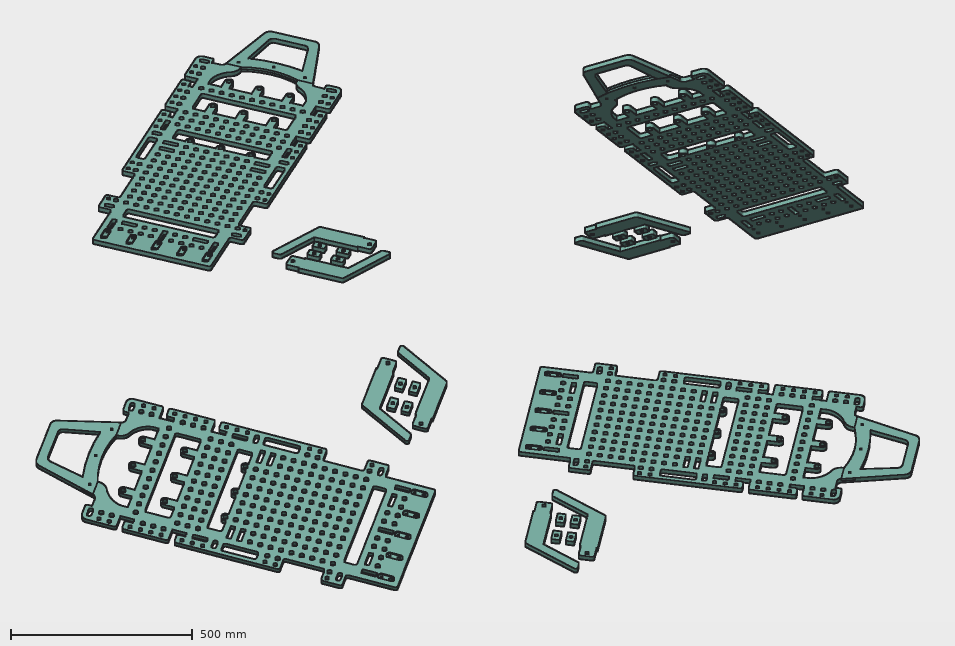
import cadquery as cq
import math

SHEET = 15.0
SMALL_RADIUS = 6.0

GRID_SPAN = 300.0
LAST_COLUMN = 5
PITCH = GRID_SPAN / (2 * LAST_COLUMN)
FIRST_ROW_Y = 73.0
GRID_HOLE = 13.0
FULL_ROWS = [*range(4, 13), 17, 18, 19, 23]
SLOT_ENDED_ROWS = [13, 14]
PAIR_SLOT_LENGTH = 42.0
SLOT_RADIUS = 2.0

PLATE_HALF = 215.0
CORE_HALF = 175.0
SHOULDER_Y = 885.0
REAR_EAR = (147.0, 208.0)
LONG_EAR = (327.0, 632.0)
MIDDLE_EAR = (650.0, 783.0)
FRONT_EAR = (800.0, 903.0)
FRONT_EAR_INNER_X = 166.0
FRONT_EAR_RADIUS = 17.0
CHANNEL_OUTER_X = 187.0
CHANNEL_DEPTH = 24.0

EAR_HOLE = 10.0
EAR_HOLE_X = 202.0
EAR_GRID_COLUMN = 6
EAR_HOLE_ROWS = [4, 9, 10, 16, 17, 18, 20, 21, 22, 23, 25, 26]
EAR_GRID_ROWS = [4, 9, 10, 20, 21, 22, 25, 26]
EAR_SLOT_ROWS = [3, 15, 27]
EAR_SLOT_LENGTH = 27.0
EAR_SLOT_X = 188.0
EAR_WINDOW_X = (176.0, 202.0)
EAR_WINDOW_Y = (399.0, 501.0)

WINDOW_HALF = 140.0
HEAD_WINDOW_Y = 790.0
MIDDLE_WINDOW_Y = (667.0, 741.0)
LOWER_WINDOW_Y = (518.0, 561.0)
REAR_WINDOW_Y = (130.0, 167.0)
REAR_WINDOW_HALF = 136.0
FINGER_COLUMNS = [-3, 0, 3]
FINGER_WIDTH = 24.0
FINGER_HOLE = 13.0
HEAD_FINGER_HOLE_Y = 819.0
MIDDLE_FINGER_HOLE_Y = 698.0
LOWER_FINGER_ROW = 15

RECESS_COUNT = 5
RECESS_WIDTH = 17.0
RECESS_Y = (16.0, 63.0)
RECESS_DEPTH = 4.0
RECESS_SCREW_HOLE = 6.0
RECESS_SCREW_Y = 53.0
RECESS_PIN_HOLE = 9.0
RECESS_PIN_Y = 27.0

HANDLE_TOP_Y = 1079.0
HANDLE_TOP_HALF = 77.0
HANDLE_RADIUS = 19.0
HANDLE_FOOT_RADIUS = 12.0
LAP_Y = 895.0
LAP_HALF = 128.0
LAP_THICKNESS = SHEET / 2
GRIP_TOP_Y = 1051.0
GRIP_TOP_HALF = 55.0
GRIP_RADIUS = 15.0
GRIP_ARC_TOP_Y = 947.0
GRIP_ARC_RADIUS = 421.0
GRIP_BOTTOM_HALF = 80.0
GRIP_BOTTOM_Y = 940.0
HANDLE_HOLE = 5.8
HANDLE_HOLES = [(-98.0, 913.0), (0, 927.0), (98.0, 913.0)]

ARM_PAIR_MIDDLE = (461.0, 182.0)
ARM_TOP = 100.0
ARM_WIDTH = 51.0
ARM_END_X = 97.0
ARM_TAB_X = 58.0
ARM_TAB_STEP = 3.0
ARM_ELBOW_X = -73.0
LEG_ANGLE = 27.4
LEG_WIDTH = 30.0
LEG_BOTTOM = -60.0
ARM_HOLE = 10.0
ARM_HOLE_X = 84.0

BLOCK_X = (419.0, 489.0)
BLOCK_Y = (162.0, 203.0)
BLOCK_LENGTH = 36.0
BLOCK_WIDTH = 24.0
BLOCK_RADIUS = 3.0
BLOCK_HOLE = 9.0


def row_y(row):
    return FIRST_ROW_Y + row * PITCH


def slab(x_range, y_range, height=SHEET):
    """Block standing on Z = 0 between the given X and Y limits."""
    length = x_range[1] - x_range[0]
    width = y_range[1] - y_range[0]
    return cq.Workplane().box(length, width, height, centered=False).translate((x_range[0], y_range[0], 0))


def both_sides(body):
    return body.union(body.mirror("YZ"))


def round_corners(body, corners, radius):
    """Round the upright edges that stand on the given corners, on both sides of X = 0."""
    reach = 0.1

    def on_corner(edge):
        middle = edge.Center()
        return any(math.hypot(abs(middle.x) - x, middle.y - y) < reach for x, y in corners)

    return body.newObject([edge for edge in body.edges("|Z").vals() if on_corner(edge)]).fillet(radius)


def drills(points, diameter):
    return cq.Workplane().pushPoints(points).circle(diameter / 2).extrude(SHEET)


def window(half, y_range):
    return slab((-half, half), y_range).edges("|Z").fillet(SMALL_RADIUS)




def handle_half_width(y):
    slope = (LAP_HALF - HANDLE_TOP_HALF) / (HANDLE_TOP_Y - LAP_Y)
    return LAP_HALF - slope * (y - LAP_Y)


def handle_blank(bottom, top, height=SHEET):
    """Tapered slice of the handle outline."""
    low = handle_half_width(bottom)
    high = handle_half_width(top)
    points = [(-low, bottom), (low, bottom), (high, top), (-high, top)]
    return cq.Workplane().polyline(points).close().extrude(height)


def below_grip_arc(height):
    """Disc whose upper rim is the lower edge of the grip opening."""
    return (
        cq.Workplane()
        .center(0, GRIP_ARC_TOP_Y - GRIP_ARC_RADIUS)
        .circle(GRIP_ARC_RADIUS)
        .extrude(height)
    )


def head_window():
    """Domed opening bounded by the plate at its sides and by the lap at its crown."""
    side_top = (WINDOW_HALF, 809.0)
    shoulder_middle = (130.0, 837.0)
    shoulder_end = (99.0, 863.0)
    neck_middle = (86.0, 877.0)
    crown_end = (83.0, LAP_Y)
    crown_y = 910.0

    def left(point):
        return (-point[0], point[1])

    return (
        cq.Workplane()
        .moveTo(-WINDOW_HALF, HEAD_WINDOW_Y)
        .lineTo(WINDOW_HALF, HEAD_WINDOW_Y)
        .lineTo(*side_top)
        .threePointArc(shoulder_middle, shoulder_end)
        .threePointArc(neck_middle, crown_end)
        .threePointArc((0, crown_y), left(crown_end))
        .threePointArc(left(neck_middle), left(shoulder_end))
        .threePointArc(left(shoulder_middle), left(side_top))
        .close()
        .extrude(SHEET)
    )




def plate_blank():
    body = slab((-CORE_HALF, CORE_HALF), (0, SHOULDER_Y))
    for ear in (REAR_EAR, LONG_EAR, MIDDLE_EAR):
        body = body.union(slab((-PLATE_HALF, PLATE_HALF), ear))
    body = body.union(both_sides(slab((FRONT_EAR_INNER_X, PLATE_HALF), FRONT_EAR)))
    body = body.union(handle_blank(SHOULDER_Y, LAP_Y))
    for ear in (LONG_EAR, MIDDLE_EAR):
        channel = slab((CORE_HALF, CHANNEL_OUTER_X), (ear[1] - CHANNEL_DEPTH, ear[1]))
        body = body.cut(both_sides(channel))

    outer_corners = [(PLATE_HALF, y) for y in (*REAR_EAR, *LONG_EAR, *MIDDLE_EAR, FRONT_EAR[0])]
    inner_corners = [(CORE_HALF, y) for y in (0, *REAR_EAR, LONG_EAR[0])]
    channel_corners = [(CHANNEL_OUTER_X, ear[1]) for ear in (LONG_EAR, MIDDLE_EAR)]
    front_corner = [(FRONT_EAR_INNER_X, FRONT_EAR[1])]
    body = round_corners(body, outer_corners + inner_corners + channel_corners + front_corner, SMALL_RADIUS)
    body = round_corners(body, [(PLATE_HALF, FRONT_EAR[1])], FRONT_EAR_RADIUS)
    foot = (handle_half_width(SHOULDER_Y), SHOULDER_Y)
    return round_corners(body, [foot], HANDLE_FOOT_RADIUS)


def lap_tongue():
    tongue = handle_blank(LAP_Y, GRIP_ARC_TOP_Y, LAP_THICKNESS)
    return tongue.intersect(below_grip_arc(LAP_THICKNESS))


def fingers(base_y, hole_y):
    """Round-ended fingers standing on the lower edge of a window, and the holes in them."""
    points = [(column * PITCH, hole_y) for column in FINGER_COLUMNS]
    body = drills(points, FINGER_WIDTH)
    for x, _ in points:
        body = body.union(slab((x - FINGER_WIDTH / 2, x + FINGER_WIDTH / 2), (base_y, hole_y)))
    return body, drills(points, FINGER_HOLE)


def pair_slot(column, row, upright=False):
    """Slot that joins a grid hole to the next one along X, or along Y when upright."""
    x = column * PITCH
    y = row_y(row)
    if upright:
        slot = cq.Workplane().rect(GRID_HOLE, PAIR_SLOT_LENGTH).extrude(SHEET).edges("|Z").fillet(SLOT_RADIUS)
        return slot.translate((x, y + PITCH / 2, 0))
    slot = cq.Workplane().rect(PAIR_SLOT_LENGTH, GRID_HOLE).extrude(SHEET).edges("|Z").fillet(SLOT_RADIUS)
    return slot.translate((x + PITCH / 2, y, 0))


def grid_holes():
    columns = range(-LAST_COLUMN, LAST_COLUMN + 1)
    spots = [(column, row) for row in FULL_ROWS for column in columns]
    spots += [(column, row) for row in SLOT_ENDED_ROWS for column in range(-3, 4)]
    spots += [(column, 1) for column in (-2, -1, 1, 2)]
    spots += [(column, 0) for column in (-4, -3, -2, -1, 1, 2, 3, 4)]
    return drills([(column * PITCH, row_y(row)) for column, row in spots], GRID_HOLE)


def grid_slots():
    slots = [pair_slot(column, row) for row in SLOT_ENDED_ROWS for column in (-5, 4)]
    slots += [pair_slot(column, 1) for column in (-4, 3)]
    slots += [pair_slot(column, 0, upright=True) for column in (-5, 0, 5)]
    slots += [pair_slot(column, 16, upright=True) for column in (-EAR_GRID_COLUMN, EAR_GRID_COLUMN)]
    return slots


def ear_cuts():
    cuts = [
        drills([(EAR_HOLE_X, row_y(row)) for row in EAR_HOLE_ROWS], EAR_HOLE),
        drills([(EAR_GRID_COLUMN * PITCH, row_y(row)) for row in EAR_GRID_ROWS], GRID_HOLE),
        cq.Workplane()
        .pushPoints([(EAR_SLOT_X, row_y(row)) for row in EAR_SLOT_ROWS])
        .slot2D(EAR_SLOT_LENGTH, GRID_HOLE)
        .extrude(SHEET),
        slab(EAR_WINDOW_X, EAR_WINDOW_Y).edges("|Z").fillet(SMALL_RADIUS),
    ]
    return cuts + [cut.mirror("YZ") for cut in cuts]


def recesses():
    """Blind round-ended pockets, each with a screw hole and a pin hole through its floor."""
    spacing = GRID_SPAN / (RECESS_COUNT - 1)
    places = [-GRID_SPAN / 2 + index * spacing for index in range(RECESS_COUNT)]
    pockets = (
        cq.Workplane()
        .workplane(offset=SHEET - RECESS_DEPTH)
        .pushPoints([(x, sum(RECESS_Y) / 2) for x in places])
        .slot2D(RECESS_Y[1] - RECESS_Y[0], RECESS_WIDTH, angle=90)
        .extrude(RECESS_DEPTH)
    )
    screw_holes = drills([(x, RECESS_SCREW_Y) for x in places], RECESS_SCREW_HOLE)
    pin_holes = drills([(x, RECESS_PIN_Y) for x in places], RECESS_PIN_HOLE)
    return [pockets, screw_holes, pin_holes]


def make_plate():
    body = plate_blank().union(lap_tongue())
    body = body.cut(head_window())
    body = body.cut(window(WINDOW_HALF, MIDDLE_WINDOW_Y))
    body = body.cut(window(WINDOW_HALF, LOWER_WINDOW_Y))
    body = body.cut(window(REAR_WINDOW_HALF, REAR_WINDOW_Y))
    for base_y, hole_y in (
        (HEAD_WINDOW_Y, HEAD_FINGER_HOLE_Y),
        (MIDDLE_WINDOW_Y[0], MIDDLE_FINGER_HOLE_Y),
        (LOWER_WINDOW_Y[0], row_y(LOWER_FINGER_ROW)),
    ):
        finger_row, finger_holes = fingers(base_y, hole_y)
        body = body.union(finger_row).cut(finger_holes)
    body = body.cut(grid_holes())
    for cut in grid_slots() + ear_cuts() + recesses():
        body = body.cut(cut)
    return body.cut(drills(HANDLE_HOLES, HANDLE_HOLE))




def make_handle():
    body = handle_blank(LAP_Y, HANDLE_TOP_Y)
    body = round_corners(body, [(HANDLE_TOP_HALF, HANDLE_TOP_Y)], HANDLE_RADIUS)
    slope = (GRIP_BOTTOM_HALF - GRIP_TOP_HALF) / (GRIP_TOP_Y - GRIP_BOTTOM_Y)
    low_half = GRIP_BOTTOM_HALF + slope * (GRIP_BOTTOM_Y - LAP_Y)
    points = [(-low_half, LAP_Y), (low_half, LAP_Y), (GRIP_TOP_HALF, GRIP_TOP_Y), (-GRIP_TOP_HALF, GRIP_TOP_Y)]
    grip = cq.Workplane().polyline(points).close().extrude(SHEET)
    grip = round_corners(grip, [(GRIP_TOP_HALF, GRIP_TOP_Y)], GRIP_RADIUS)
    body = body.cut(grip.cut(below_grip_arc(SHEET)))
    body = body.cut(below_grip_arc(LAP_THICKNESS))
    return body.cut(head_window()).cut(drills(HANDLE_HOLES, HANDLE_HOLE))




def make_arm(turn):
    """Arm with a stepped tab at one end and a slanting leg at the other."""
    lean = math.tan(math.radians(LEG_ANGLE))
    leg_across = LEG_WIDTH
    bottom = ARM_TOP - ARM_WIDTH
    tab_top = ARM_TOP - ARM_TAB_STEP
    tab_bottom = bottom + ARM_TAB_STEP
    inner_elbow_x = ARM_ELBOW_X - lean * ARM_WIDTH + leg_across
    leg_end_x = ARM_ELBOW_X - lean * (ARM_TOP - LEG_BOTTOM)
    rounded = [(ARM_ELBOW_X, ARM_TOP), (leg_end_x, LEG_BOTTOM), (leg_end_x + leg_across, LEG_BOTTOM)]
    rounded += [(ARM_END_X, tab_top), (ARM_END_X, tab_bottom)]
    points = [
        (ARM_ELBOW_X, ARM_TOP),
        (ARM_TAB_X, ARM_TOP),
        (ARM_TAB_X, tab_top),
        (ARM_END_X, tab_top),
        (ARM_END_X, tab_bottom),
        (ARM_TAB_X, tab_bottom),
        (ARM_TAB_X, bottom),
        (inner_elbow_x, bottom),
        (leg_end_x + leg_across, LEG_BOTTOM),
        (leg_end_x, LEG_BOTTOM),
    ]
    body = cq.Workplane().polyline(points).close().extrude(SHEET)
    for x, y in rounded:
        body = body.edges(cq.selectors.NearestToPointSelector((x, y, SHEET / 2))).fillet(SMALL_RADIUS)
    body = body.cut(drills([(ARM_HOLE_X, ARM_TOP - ARM_WIDTH / 2)], ARM_HOLE))
    return body.rotate((0, 0, 0), (0, 0, 1), turn).translate((*ARM_PAIR_MIDDLE, 0))




def make_block(x, y):
    body = cq.Workplane().rect(BLOCK_LENGTH, BLOCK_WIDTH).extrude(SHEET)
    body = body.edges("|Z").fillet(BLOCK_RADIUS)
    return body.cut(drills([(0, 0)], BLOCK_HOLE)).translate((x, y, 0))


plate = make_plate()
handle = make_handle()
arms = [make_arm(turn) for turn in (0, 180)]
blocks = [make_block(x, y) for x in BLOCK_X for y in BLOCK_Y]

result = cq.Compound.makeCompound([body.val() for body in (plate, handle, *arms, *blocks)])